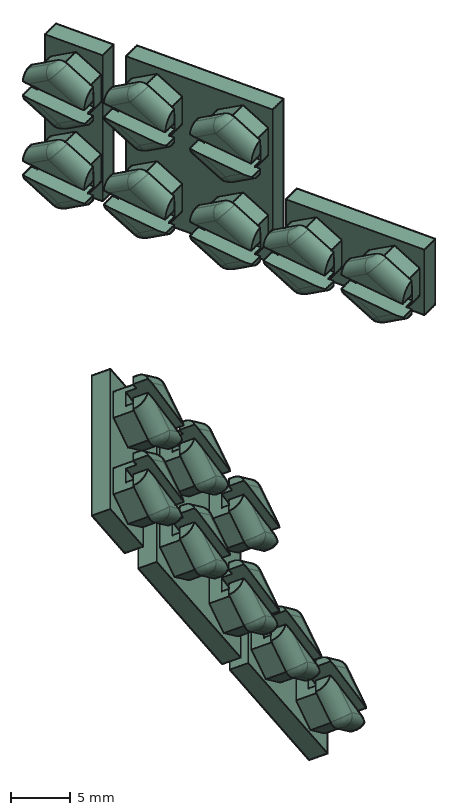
import cadquery as cq
import math


plate_thickness = 1.8
left_plate_width, left_plate_height = 5.7, 15.4
middle_plate_width, middle_plate_height = 14.5, 16.2
right_plate_width, right_plate_height = 13.7, 6.9

left_plate_x, left_plate_z = 0.0, 0.0
middle_plate_x, middle_plate_z = 8.0, 0.0
right_plate_x, right_plate_z = 23.8, 0.35

left_stud_x = 3.05
middle_stud_x, middle_stud_spacing_x = 11.07, 8.5
right_stud_x, right_stud_spacing_x = 26.84, 7.7
tall_stud_z, right_stud_z = 3.45, 3.66
left_stud_spacing_z, middle_stud_spacing_z = 8.4, 9.2

stem_length = 2.2
stem_width = 5.0
head_thickness = 1.5
head_width = 6.1
wide_round = 1.49
narrow_round = 1.0
apex_round = 1.0

slot_width = 1.5
slot_depth = 2.5
slot_tilt = 6.7
slot_drop = 0.15

tip_length = stem_length + head_thickness


def hexagon_prism(width_across_flats, start, length):
    """Hexagonal prism along -Y with its apexes at the top and bottom."""
    width_across_apexes = width_across_flats / math.cos(math.pi / 6)
    prism = cq.Workplane("XZ").polygon(6, width_across_apexes).extrude(length)
    return prism.rotate((0, 0, 0), (0, 1, 0), 30).translate((0, -start, 0))


def make_head():
    """Head with rounded apexes and sloping edges; the upright sides stay sharp.

    The upper right and lower left slopes have the wide round, the other two the
    narrow one. All rounds are made together so that they blend at the apexes.
    """
    head = hexagon_prism(head_width, stem_length, head_thickness)
    apex_edges = head.edges("|Y").edges(">Z or <Z").vals()
    front = head.faces("<Y")
    slope_edges = front.edges("not |Z").vals()

    rounding = cq.occ_impl.shapes.BRepFilletAPI_MakeFillet(head.val().wrapped)
    for edge in apex_edges:
        rounding.Add(apex_round, edge.wrapped)
    for edge in slope_edges:
        middle = edge.Center()
        radius = wide_round if middle.x * middle.z > 0 else narrow_round
        rounding.Add(radius, edge.wrapped)
    return cq.Workplane(cq.Shape.cast(rounding.Shape()))


def make_stud():
    """Slotted stud whose stem starts at the origin and points along -Y."""
    stud = hexagon_prism(stem_width, 0, stem_length).union(make_head())
    slot_length = 2 * head_width
    slot = (
        cq.Workplane("XY")
        .box(slot_length, slot_depth, slot_width)
        .rotate((0, 0, 0), (0, 1, 0), slot_tilt)
        .translate((0, slot_depth / 2 - tip_length, -slot_drop))
    )
    return stud.cut(slot)


stud = make_stud()


def make_plate(x, z, width, height, stud_columns, stud_rows):
    """Plate with its lower left corner at (x, z) and a stud at each column and row."""
    plate = cq.Workplane("XY").box(width, plate_thickness, height, centered=False)
    plate = plate.translate((x, 0, z))
    for stud_x in stud_columns:
        for stud_z in stud_rows:
            plate = plate.union(stud.translate((stud_x, 0, stud_z)))
    return plate


left_plate = make_plate(
    left_plate_x,
    left_plate_z,
    left_plate_width,
    left_plate_height,
    stud_columns=[left_stud_x],
    stud_rows=[tall_stud_z, tall_stud_z + left_stud_spacing_z],
)

middle_plate = make_plate(
    middle_plate_x,
    middle_plate_z,
    middle_plate_width,
    middle_plate_height,
    stud_columns=[middle_stud_x, middle_stud_x + middle_stud_spacing_x],
    stud_rows=[tall_stud_z, tall_stud_z + middle_stud_spacing_z],
)

right_plate = make_plate(
    right_plate_x,
    right_plate_z,
    right_plate_width,
    right_plate_height,
    stud_columns=[right_stud_x, right_stud_x + right_stud_spacing_x],
    stud_rows=[right_stud_z],
)

result = cq.Compound.makeCompound([left_plate.val(), middle_plate.val(), right_plate.val()])